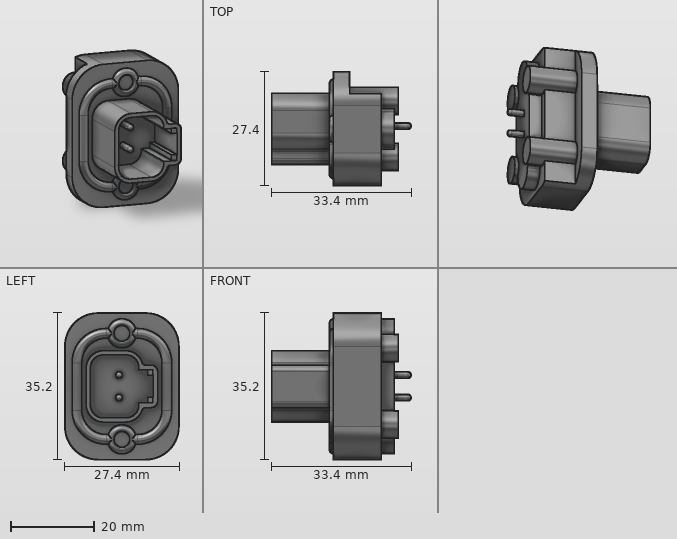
import cadquery as cq
import math


BODY_WIDTH = 27.4
BODY_HEIGHT = 35.2
BODY_DEPTH = 11.55
BODY_CORNER_RADIUS = 8.03
LIP_THICKNESS = 3.9
TRIMMED_SIDE_Y = 8.38

SHROUD_LENGTH = 14.75
SHROUD_HALF = 8.55
SHROUD_CORNER_RADIUS = 4.15
WALL = 1.0
MAIN_SIDE_Y = -5.07
KEY_HALF_HEIGHT = 5.07
KEY_CORNER_RADIUS = 1.48
KEY_BLEND_END_Y = -5.77

KEY_CAVITY_HALF_HEIGHT = 3.98
RAIL_GAP_HALF_HEIGHT = 2.65
RAIL_WIDTH = 1.35
RAIL_STEP = 0.2
RAIL_LEAD_IN = 0.7

BEAD_RADIUS = 1.2
BEAD_HEIGHT = 0.95
BEAD_SIDE_Y = 10.77
BEAD_END_Z = 12.7
BEAD_BEND_RADIUS = 7.05
RING_RADIUS = 2.32
RING_HOLE_DIAMETER = 3.8
RING_HOLE_ROUNDING = 0.4

BOSS_DIAMETER = 6.6
BOSS_Y = 6.72
BOSS_Z = 9.15
BOSS_END_X = 15.6
REAR_BLOCK_DEPTH = 3.1
REAR_CORE_HALF_WIDTH = 5.28
REAR_CORE_HALF_HEIGHT = 11.85
REAR_CORE_BLEND = 0.7
REAR_MIDDLE_HALF_SIDE = 5.77
REAR_LOBE_RADIUS = 4.12
REAR_LOBE_END_Z = 16.2

PIN_DIAMETER = 1.6
PIN_Y = 0.67
PIN_Z = 2.7
PIN_FRONT_X = -5.63
PIN_REAR_X = 18.65


def box(x0, x1, y0, y1, z0, z1):
    """Box between two opposite corners."""
    return cq.Workplane("XY").box(x1 - x0, y1 - y0, z1 - z0, centered=False).translate((x0, y0, z0))


def rod(x0, x1, y, z, diameter):
    """Round bar along X."""
    return cq.Workplane("YZ", origin=(x0, y, z)).circle(diameter / 2).extrude(x1 - x0)


def flange_body():
    body = (
        cq.Workplane("YZ")
        .rect(BODY_WIDTH, BODY_HEIGHT)
        .extrude(BODY_DEPTH)
        .edges("|X")
        .fillet(BODY_CORNER_RADIUS)
    )
    trim = box(
        LIP_THICKNESS, BODY_DEPTH,
        TRIMMED_SIDE_Y, BODY_WIDTH / 2,
        -BODY_HEIGHT / 2, BODY_HEIGHT / 2,
    )
    return body.cut(trim)


def chamber(offset):
    """Main shroud chamber as a solid, with its outline moved inward by offset."""
    half = SHROUD_HALF - offset
    block = box(-SHROUD_LENGTH, 0, MAIN_SIDE_Y + offset, half, -half, half)
    return block.edges("|X").fillet(SHROUD_CORNER_RADIUS - offset)


def key_prism():
    """Outside of the key, blended into the rounded corners of the main chamber."""
    corner_y = MAIN_SIDE_Y + SHROUD_CORNER_RADIUS
    corner_z = SHROUD_HALF - SHROUD_CORNER_RADIUS

    run = corner_y - KEY_BLEND_END_Y
    rise = KEY_HALF_HEIGHT - corner_z
    blend_radius = (run**2 + rise**2 - SHROUD_CORNER_RADIUS**2) / (2 * (SHROUD_CORNER_RADIUS - rise))
    blend_z = KEY_HALF_HEIGHT + blend_radius

    share = SHROUD_CORNER_RADIUS / (SHROUD_CORNER_RADIUS + blend_radius)
    meet_y = corner_y - run * share
    meet_z = corner_z + (blend_z - corner_z) * share
    start_angle = math.atan2(meet_z - blend_z, meet_y - KEY_BLEND_END_Y)
    middle_angle = (start_angle - math.pi / 2) / 2
    middle_y = KEY_BLEND_END_Y + blend_radius * math.cos(middle_angle)
    middle_z = blend_z + blend_radius * math.sin(middle_angle)

    prism = (
        cq.Workplane("YZ")
        .moveTo(corner_y, meet_z)
        .lineTo(meet_y, meet_z)
        .threePointArc((middle_y, middle_z), (KEY_BLEND_END_Y, KEY_HALF_HEIGHT))
        .lineTo(-SHROUD_HALF, KEY_HALF_HEIGHT)
        .lineTo(-SHROUD_HALF, -KEY_HALF_HEIGHT)
        .lineTo(KEY_BLEND_END_Y, -KEY_HALF_HEIGHT)
        .threePointArc((middle_y, -middle_z), (meet_y, -meet_z))
        .lineTo(corner_y, -meet_z)
        .close()
        .extrude(-SHROUD_LENGTH)
    )
    return prism.edges("|X and <Y").fillet(KEY_CORNER_RADIUS)


def guide_rail(z0):
    """Rail on the far key wall, with a sloped lead-in at the mouth."""
    wall_y = -SHROUD_HALF + WALL
    mouth_x = -SHROUD_LENGTH
    return (
        cq.Workplane("XY", origin=(0, 0, z0))
        .moveTo(mouth_x, wall_y)
        .lineTo(mouth_x, wall_y + RAIL_STEP)
        .lineTo(mouth_x + RAIL_LEAD_IN, wall_y + RAIL_WIDTH)
        .lineTo(0, wall_y + RAIL_WIDTH)
        .lineTo(0, wall_y)
        .close()
        .extrude(KEY_CAVITY_HALF_HEIGHT - RAIL_GAP_HALF_HEIGHT)
    )


def shroud():
    key_cavity = box(
        -SHROUD_LENGTH, 0,
        -SHROUD_HALF + WALL, 0,
        -KEY_CAVITY_HALF_HEIGHT, KEY_CAVITY_HALF_HEIGHT,
    )
    shell = chamber(0).union(key_prism()).cut(chamber(WALL)).cut(key_cavity)
    for z0 in (RAIL_GAP_HALF_HEIGHT, -KEY_CAVITY_HALF_HEIGHT):
        shell = shell.union(guide_rail(z0))
    return shell


def bead_run(side):
    """C-shaped bead on one side (+1 or -1 in Y), reaching both ring crests."""
    axis_x = BEAD_RADIUS - BEAD_HEIGHT
    bend_y = BEAD_SIDE_Y - BEAD_BEND_RADIUS
    bend_z = BEAD_END_Z - BEAD_BEND_RADIUS
    diagonal = BEAD_BEND_RADIUS * math.sqrt(0.5)
    path = (
        cq.Workplane("YZ", origin=(axis_x, 0, 0))
        .moveTo(side * RING_RADIUS, BEAD_END_Z)
        .lineTo(side * bend_y, BEAD_END_Z)
        .threePointArc((side * (bend_y + diagonal), bend_z + diagonal), (side * BEAD_SIDE_Y, bend_z))
        .lineTo(side * BEAD_SIDE_Y, -bend_z)
        .threePointArc((side * (bend_y + diagonal), -bend_z - diagonal), (side * bend_y, -BEAD_END_Z))
        .lineTo(side * RING_RADIUS, -BEAD_END_Z)
    )
    start = cq.Workplane("XZ", origin=(axis_x, side * RING_RADIUS, BEAD_END_Z))
    return start.circle(BEAD_RADIUS).sweep(path)


def ring_hole_lining(z):
    """Wall around a ring hole, with a rounded mouth at the crest of the ring."""
    lining = (
        cq.Workplane("YZ", origin=(-BEAD_HEIGHT, 0, z))
        .circle(RING_RADIUS)
        .circle(RING_HOLE_DIAMETER / 2)
        .extrude(BEAD_HEIGHT)
    )
    mouth = lining.faces("<X").edges(cq.selectors.RadiusNthSelector(0))
    return mouth.fillet(RING_HOLE_ROUNDING)


def bead_ring(z):
    """Round bead, to be hollowed out and lined around its hole."""
    axis_x = BEAD_RADIUS - BEAD_HEIGHT
    return cq.Workplane(
        cq.Solid.makeTorus(RING_RADIUS, BEAD_RADIUS, cq.Vector(axis_x, 0, z), cq.Vector(1, 0, 0))
    )


def rear_block():
    """Core behind the body, wider in the middle, with a round lobe above and below."""
    back = cq.Workplane("YZ", origin=(BODY_DEPTH, 0, 0))
    core = back.rect(2 * REAR_CORE_HALF_WIDTH, 2 * REAR_CORE_HALF_HEIGHT).extrude(REAR_BLOCK_DEPTH)
    middle = back.rect(2 * REAR_MIDDLE_HALF_SIDE, 2 * REAR_MIDDLE_HALF_SIDE).extrude(REAR_BLOCK_DEPTH)
    lobes = back.slot2D(2 * REAR_LOBE_END_Z, 2 * REAR_LOBE_RADIUS, 90).extrude(REAR_BLOCK_DEPTH)
    inner_corners = cq.selectors.BoxSelector(
        (BODY_DEPTH, -REAR_CORE_HALF_WIDTH + REAR_CORE_BLEND / 2, -REAR_LOBE_END_Z),
        (BODY_DEPTH + REAR_BLOCK_DEPTH, REAR_CORE_HALF_WIDTH - REAR_CORE_BLEND / 2, REAR_LOBE_END_Z),
    )
    return core.union(lobes).edges("|X").edges(inner_corners).fillet(REAR_CORE_BLEND).union(middle)


def contact_pin(z):
    """Pin with a hemispherical tip at both ends."""
    radius = PIN_DIAMETER / 2
    front = PIN_FRONT_X + radius
    rear = PIN_REAR_X - radius
    pin = rod(front, rear, PIN_Y, z, PIN_DIAMETER)
    for x in (front, rear):
        pin = pin.union(cq.Workplane("XY", origin=(x, PIN_Y, z)).sphere(radius))
    return pin


result = flange_body().union(rear_block())
for side in (1, -1):
    result = result.union(bead_run(side))
for z in (BEAD_END_Z, -BEAD_END_Z):
    result = result.union(bead_ring(z))
    result = result.cut(rod(-BEAD_HEIGHT, 0, 0, z, 2 * RING_RADIUS)).union(ring_hole_lining(z))
for y in (BOSS_Y, -BOSS_Y):
    for z in (BOSS_Z, -BOSS_Z):
        result = result.union(rod(LIP_THICKNESS, BOSS_END_X, y, z, BOSS_DIAMETER))
result = result.union(shroud())
for z in (PIN_Z, -PIN_Z):
    result = result.union(contact_pin(z))

result = result.solids()